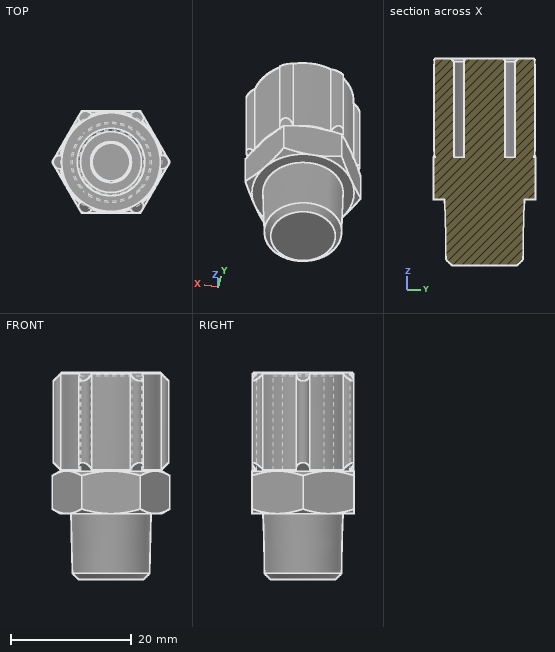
import cadquery as cq
import math

TOTAL_HEIGHT = 34.5
HEX_BOTTOM = 11.0
HEX_TOP = 18.08

SPIGOT_TIP_RADIUS = 5.38
SPIGOT_LOW_RADIUS = 6.45
SPIGOT_TOP_RADIUS = 6.7
SPIGOT_CHAMFER_HEIGHT = 1.05

HEX_SIDES = 6
HEX_ACROSS_FLATS = 17.0
HEX_ACROSS_CORNERS = HEX_ACROSS_FLATS / math.cos(math.pi / HEX_SIDES)
HEX_CHAMFER_ANGLE = 30.0

NUT_RADIUS = 8.45
NUT_CHAMFER = 0.25
RIB_COUNT = 6
RIB_RADIUS = 1.15
RIB_CENTRE_RADIUS = 8.5

BORE_RADIUS = 5.07
BORE_CHAMFER = 0.55
STEM_RADIUS = 3.4
STEM_CHAMFER = 0.28


def cylinder(radius, bottom, top):
    """Solid cylinder on the fitting axis."""
    return cq.Workplane("XY").workplane(offset=bottom).circle(radius).extrude(top - bottom)


def bevelled_blank(end_radius, outer_radius, bevel_height, bottom, top):
    """Turned blank bevelled alike at both ends."""
    return (
        cq.Workplane("XZ")
        .moveTo(0, bottom)
        .lineTo(end_radius, bottom)
        .lineTo(outer_radius, bottom + bevel_height)
        .lineTo(outer_radius, top - bevel_height)
        .lineTo(end_radius, top)
        .lineTo(0, top)
        .close()
        .revolve(360, (0, 0, 0), (0, 1, 0))
    )


def make_spigot():
    return (
        cq.Workplane("XZ")
        .lineTo(SPIGOT_TIP_RADIUS, 0)
        .lineTo(SPIGOT_LOW_RADIUS, SPIGOT_CHAMFER_HEIGHT)
        .lineTo(SPIGOT_TOP_RADIUS, HEX_BOTTOM)
        .lineTo(0, HEX_BOTTOM)
        .close()
        .revolve(360, (0, 0, 0), (0, 1, 0))
    )


def make_hexagon():
    prism = (
        cq.Workplane("XY")
        .workplane(offset=HEX_BOTTOM)
        .polygon(HEX_SIDES, HEX_ACROSS_CORNERS)
        .extrude(HEX_TOP - HEX_BOTTOM)
    )
    inner_radius = HEX_ACROSS_FLATS / 2
    outer_radius = HEX_ACROSS_CORNERS / 2
    bevel_height = (outer_radius - inner_radius) * math.tan(math.radians(HEX_CHAMFER_ANGLE))
    return prism.intersect(bevelled_blank(inner_radius, outer_radius, bevel_height, HEX_BOTTOM, HEX_TOP))


def make_nut():
    nut = cylinder(NUT_RADIUS, HEX_TOP, TOTAL_HEIGHT)
    ribs = (
        cq.Workplane("XY")
        .workplane(offset=HEX_TOP)
        .polarArray(RIB_CENTRE_RADIUS, 0, 360, RIB_COUNT)
        .circle(RIB_RADIUS)
        .extrude(TOTAL_HEIGHT - HEX_TOP)
    )
    end_radius = NUT_RADIUS - NUT_CHAMFER
    crest_radius = RIB_CENTRE_RADIUS + RIB_RADIUS
    blank = bevelled_blank(end_radius, crest_radius, crest_radius - end_radius, HEX_TOP, TOTAL_HEIGHT)
    bore = cylinder(BORE_RADIUS, HEX_TOP, TOTAL_HEIGHT)
    bored_nut = nut.union(ribs).intersect(blank).cut(bore)
    return bored_nut.edges(cq.selectors.RadiusNthSelector(0)).edges(">Z").chamfer(BORE_CHAMFER)


def make_stem():
    return cylinder(STEM_RADIUS, HEX_TOP, TOTAL_HEIGHT).faces(">Z").edges().chamfer(STEM_CHAMFER)


result = make_spigot().union(make_hexagon()).union(make_nut()).union(make_stem())